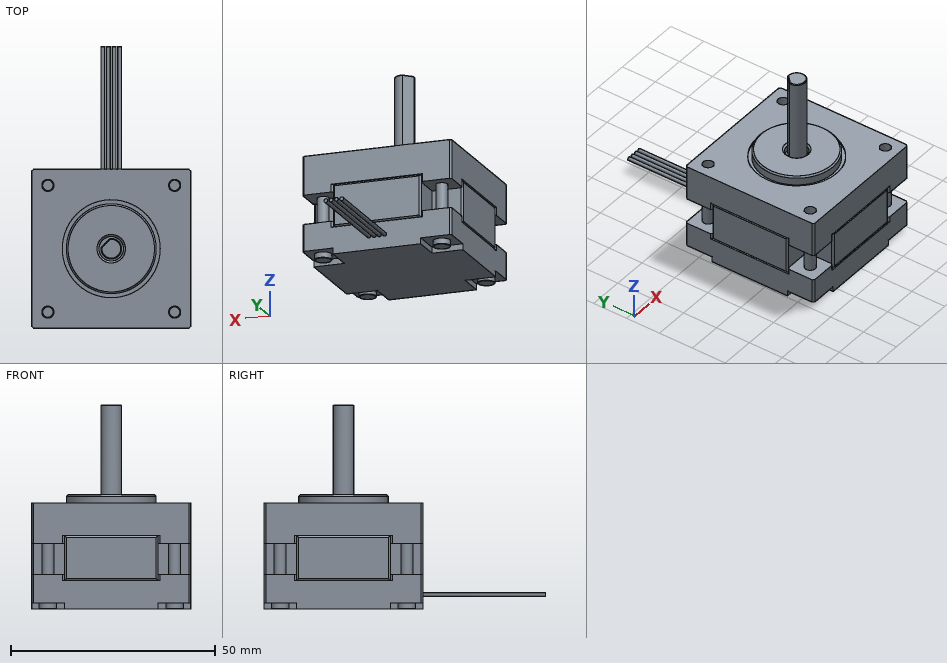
import cadquery as cq


body_width = 39.0
total_length = 69.0
total_height = 50.0
corner_chamfer = 0.5

rear_notch_top = 1.5
stator_bottom = 7.0
rear_cap_top = 8.5
front_cap_bottom = 16.0
stator_top = 18.0
front_cap_top = 26.0
boss_top = 28.0

arm_width = 23.0
arm_chamfer = 0.5

boss_diameter = 22.0
boss_chamfer = 0.4
groove_diameter = 24.0
groove_depth = 0.5

recess_diameter = 6.0
recess_chamfer = 0.5
recess_depth = 2.0

shaft_diameter = 5.05
flat_distance = 2.0
flat_angle = 135.0
shaft_chamfer = 0.2

screw_offset = 15.5
screw_diameter = 3.0
screw_top = 21.5
screw_tip_chamfer = 0.2
head_diameter = 4.3
head_chamfer = 0.15

wire_count = 4
wire_diameter = 1.0
wire_pitch = 1.4
wire_height = 3.5

half_width = body_width / 2
recess_floor = boss_top - recess_depth
wire_length = total_length - body_width
screw_centers = [(x, y) for x in (-screw_offset, screw_offset) for y in (-screw_offset, screw_offset)]


def cylinder(diameter, bottom, top):
    return cq.Workplane("XY").workplane(offset=bottom).circle(diameter / 2).extrude(top - bottom)


def square_block(bottom, top):
    """Full-width block with chamfered vertical corners."""
    block = cq.Workplane("XY").workplane(offset=bottom).rect(body_width, body_width).extrude(top - bottom)
    return block.edges("|Z").chamfer(corner_chamfer)


def arm_bar(bottom, top):
    """Bar along X that runs the full width of the body."""
    return cq.Workplane("XY").workplane(offset=bottom).rect(body_width, arm_width).extrude(top - bottom)


def cross(bar):
    """Cross made of a bar and the same bar turned a quarter about Z."""
    return bar.union(bar.rotate((0, 0, 0), (0, 0, 1), 90))


def stator_pocket():
    """Space for the stator in the caps, flared where the pocket sides meet the body sides."""
    mouth = arm_width / 2 + arm_chamfer
    throat = arm_width / 2
    inset = half_width - arm_chamfer
    outline = [
        (half_width, -mouth),
        (half_width, mouth),
        (inset, throat),
        (-inset, throat),
        (-half_width, mouth),
        (-half_width, -mouth),
        (-inset, -throat),
        (inset, -throat),
    ]
    bar = cq.Workplane("XY").workplane(offset=stator_bottom).polyline(outline).close()
    return cross(bar.extrude(stator_top - stator_bottom))


def screw_holes():
    """Four shank clearances running from the underside of the body to the front face."""
    circles = cq.Workplane("XY").pushPoints(screw_centers).circle(screw_diameter / 2)
    return circles.extrude(front_cap_top)


def shaft_bar():
    """D-shaped bar standing on the stator; it also cuts the matching bore in the front cap."""
    bar = cylinder(shaft_diameter, stator_top, total_height)
    flat_cutter = (
        cq.Workplane("XY")
        .box(shaft_diameter, shaft_diameter, total_height, centered=(False, True, False))
        .translate((flat_distance, 0, 0))
        .rotate((0, 0, 0), (0, 0, 1), flat_angle)
    )
    return bar.cut(flat_cutter)


def recess_countersink():
    """Cone that chamfers the rim of the shaft recess."""
    radius = recess_diameter / 2
    bottom = cq.Vector(0, 0, boss_top - recess_chamfer)
    return cq.Workplane(obj=cq.Solid.makeCone(radius, radius + recess_chamfer, recess_chamfer, bottom))


def make_stator():
    bar = arm_bar(stator_bottom, stator_top)
    return cross(bar.faces("<X or >X").chamfer(arm_chamfer))


def make_front_cap():
    cap = square_block(front_cap_bottom, front_cap_top)
    groove_floor = front_cap_top - groove_depth
    cap = cap.cut(cylinder(groove_diameter, groove_floor, front_cap_top))
    boss = cylinder(boss_diameter, groove_floor, boss_top).faces(">Z").chamfer(boss_chamfer)
    cap = cap.union(boss)
    cap = cap.cut(cylinder(recess_diameter, recess_floor, boss_top))
    cap = cap.cut(recess_countersink())
    cap = cap.cut(shaft_bar())
    return cap.cut(stator_pocket()).cut(screw_holes())


def make_rear_cap():
    block = square_block(0, rear_cap_top)
    foot_notches = cq.Workplane("XY").rect(body_width, body_width).extrude(rear_notch_top)
    foot_notches = foot_notches.cut(cross(arm_bar(0, rear_notch_top)))
    cap = block.cut(foot_notches).cut(stator_pocket()).cut(screw_holes())
    first_wire = -(wire_count - 1) * wire_pitch / 2
    for index in range(wire_count):
        x = first_wire + index * wire_pitch
        start = cq.Vector(x, half_width, wire_height)
        wire = cq.Solid.makeCylinder(wire_diameter / 2, wire_length, start, cq.Vector(0, 1, 0))
        cap = cap.union(cq.Workplane(obj=wire))
    return cap


def make_shaft():
    return shaft_bar().faces(">Z").chamfer(shaft_chamfer)


def make_screw(center):
    shank = cylinder(screw_diameter, 0, screw_top).faces(">Z").chamfer(screw_tip_chamfer)
    head = cylinder(head_diameter, 0, rear_notch_top).faces("<Z").chamfer(head_chamfer)
    return head.union(shank).translate((*center, 0))


stator = make_stator()
front_cap = make_front_cap()
rear_cap = make_rear_cap()
shaft = make_shaft()
screws = [make_screw(center) for center in screw_centers]

result = cq.Compound.makeCompound(
    [stator.val(), front_cap.val(), rear_cap.val(), shaft.val(), *[screw.val() for screw in screws]]
)